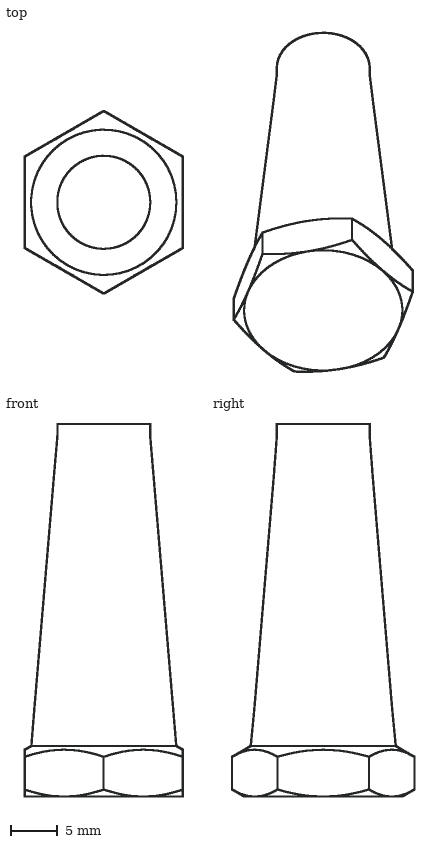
import cadquery as cq
import math

total_height = 40.0
across_flats = 17.0
across_corners = across_flats / math.cos(math.radians(30))
head_height = 5.45
chamfer_slope = math.tan(math.radians(30))

shank_base_radius = 7.8
tip_radius = 5.0
tip_length = 1.3

corner_radius = across_corners / 2
flat_radius = across_flats / 2


def make_head():
    """Hexagon with corners on Y, cut by 30 degree cones above and below."""
    hexagon = (
        cq.Workplane("XY")
        .polygon(6, across_corners)
        .extrude(head_height)
        .rotate((0, 0, 0), (0, 0, 1), 30)
    )
    bottom_drop = (corner_radius - flat_radius) * chamfer_slope
    top_drop = (corner_radius - shank_base_radius) * chamfer_slope
    envelope = (
        cq.Workplane("XZ")
        .moveTo(0, 0)
        .lineTo(flat_radius, 0)
        .lineTo(corner_radius, bottom_drop)
        .lineTo(corner_radius, head_height - top_drop)
        .lineTo(shank_base_radius, head_height)
        .lineTo(0, head_height)
        .close()
        .revolve(360, (0, 0, 0), (0, 1, 0))
    )
    return hexagon.intersect(envelope)


def make_shank():
    """Cone rising from the head, ending in a straight tip."""
    return (
        cq.Workplane("XZ")
        .moveTo(0, head_height)
        .lineTo(shank_base_radius, head_height)
        .lineTo(tip_radius, total_height - tip_length)
        .lineTo(tip_radius, total_height)
        .lineTo(0, total_height)
        .close()
        .revolve(360, (0, 0, 0), (0, 1, 0))
    )


result = make_head().union(make_shank())